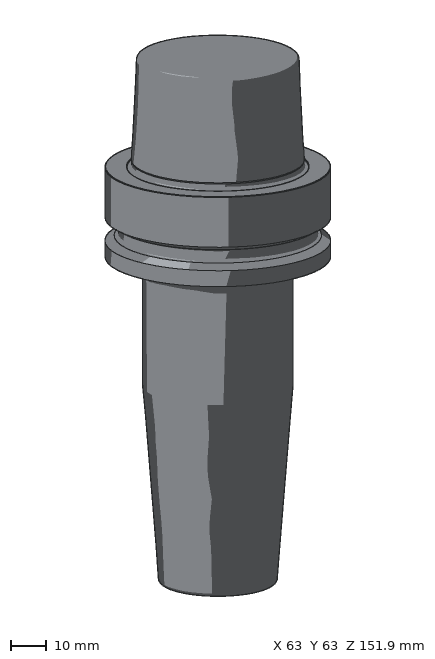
import cadquery as cq
import math


taper_top_z = 31.9
taper_base_z = 2.0
taper_base_radius = 24.15
taper_ratio = 1 / 20
taper_top_round = 1.0

relief_neck_radius = 24.0
relief_step_z = 1.6
relief_outer_radius = 25.5
relief_fillet = 0.9
relief_floor_z = -0.2
relief_rim = 0.2

flange_radius = 31.5
flange_bottom_z = -26.0
flange_top_edge = 0.2
groove_center_z = -18.0
groove_floor_radius = 27.7
groove_floor_half_width = 1.1
groove_corner_radius = 0.8
groove_flank_radius = 28.9
groove_flank_angle = 30

shank_radius = 21.0
shank_fillet = 5.0
nose_top_z = -63.3
nose_bottom_z = -120.0
nose_half_angle = 4.5
nose_round = 1.0

groove_wall_offset = groove_floor_half_width + groove_corner_radius
groove_flank_height = (flange_radius - groove_flank_radius) * math.tan(math.radians(groove_flank_angle))
groove_rim_offset = groove_wall_offset + groove_flank_height

taper_top_radius = taper_base_radius - taper_ratio * (taper_top_z - taper_base_z)
nose_length = nose_top_z - nose_bottom_z
nose_bottom_radius = shank_radius - nose_length * math.tan(math.radians(nose_half_angle))


def add_quarter_arc(profile, center, radius, side_r, side_z, end):
    """Continue the profile with a quarter circle bulging towards (side_r, side_z) from its center."""
    reach = radius * math.sqrt(0.5)
    middle = (center[0] + side_r * reach, center[1] + side_z * reach)
    return profile.threePointArc(middle, end)


def add_shank(profile):
    """Nose, cylindrical shank and the fillet that runs out into the flange underside."""
    fillet_center = (shank_radius + shank_fillet, flange_bottom_z - shank_fillet)
    profile = (
        profile.lineTo(nose_bottom_radius, nose_bottom_z)
        .lineTo(shank_radius, nose_top_z)
        .lineTo(shank_radius, fillet_center[1])
    )
    return add_quarter_arc(profile, fillet_center, shank_fillet, -1, 1, (fillet_center[0], flange_bottom_z))


def add_flange(profile):
    """Flange rim with the gripper groove, up to the contact face."""
    corner_r = groove_floor_radius + groove_corner_radius
    lower_floor_z = groove_center_z - groove_floor_half_width
    upper_floor_z = groove_center_z + groove_floor_half_width
    lower_wall_z = groove_center_z - groove_wall_offset
    upper_wall_z = groove_center_z + groove_wall_offset

    profile = (
        profile.lineTo(flange_radius, flange_bottom_z)
        .lineTo(flange_radius, groove_center_z - groove_rim_offset)
        .lineTo(groove_flank_radius, lower_wall_z)
        .lineTo(corner_r, lower_wall_z)
    )
    profile = add_quarter_arc(
        profile, (corner_r, lower_floor_z), groove_corner_radius, -1, -1, (groove_floor_radius, lower_floor_z)
    )
    profile = profile.lineTo(groove_floor_radius, upper_floor_z)
    profile = add_quarter_arc(
        profile, (corner_r, upper_floor_z), groove_corner_radius, -1, 1, (corner_r, upper_wall_z)
    )
    return (
        profile.lineTo(groove_flank_radius, upper_wall_z)
        .lineTo(flange_radius, groove_center_z + groove_rim_offset)
        .lineTo(flange_radius, -flange_top_edge)
        .lineTo(flange_radius - flange_top_edge, 0)
    )


def add_relief(profile):
    """Shallow recess in the contact face, filleted up to a neck under the taper."""
    fillet_center = (relief_neck_radius + relief_fillet, relief_floor_z + relief_fillet)
    profile = (
        profile.lineTo(relief_outer_radius, 0)
        .lineTo(relief_outer_radius - relief_rim, relief_floor_z)
        .lineTo(fillet_center[0], relief_floor_z)
    )
    profile = add_quarter_arc(
        profile, fillet_center, relief_fillet, -1, -1, (relief_neck_radius, fillet_center[1])
    )
    return profile.lineTo(relief_neck_radius, relief_step_z)


def add_taper(profile):
    """Spindle taper up to its flat end."""
    return (
        profile.lineTo(taper_base_radius, taper_base_z)
        .lineTo(taper_top_radius, taper_top_z)
        .lineTo(0, taper_top_z)
    )


def holder_body():
    profile = cq.Workplane("XZ").moveTo(0, nose_bottom_z)
    for add_section in (add_shank, add_flange, add_relief, add_taper):
        profile = add_section(profile)
    return profile.close().revolve(360, (0, 0, 0), (0, 1, 0))


def round_ends(body):
    """Round the outer edges of the two flat ends."""
    body = body.faces(">Z").edges().fillet(taper_top_round)
    return body.faces("<Z").edges().fillet(nose_round)


result = round_ends(holder_body())